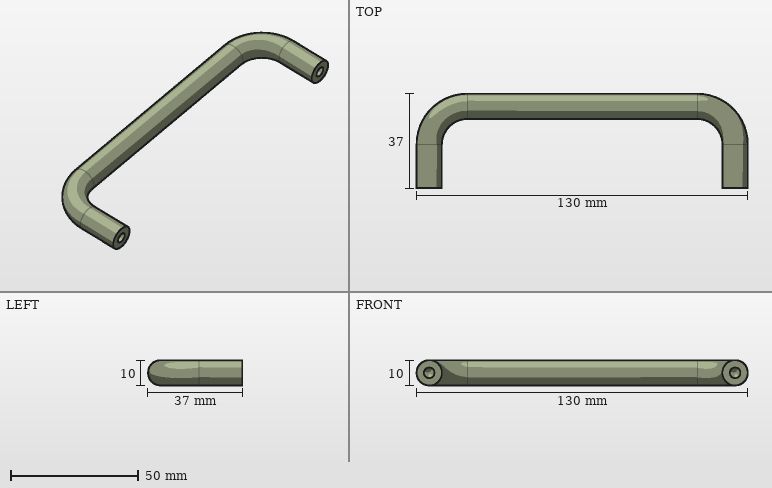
import cadquery as cq
import math

overall_length = 130.0
overall_height = 37.0
rod_diameter = 10.0
bend_radius = 15.0
hole_diameter = 4.2
hole_depth = 10.0
drill_tip_angle = 118.0

rod_radius = rod_diameter / 2
leg_x = overall_length / 2 - rod_radius
grip_y = overall_height - rod_radius
leg_length = grip_y - bend_radius
grip_half_length = leg_x - bend_radius


def make_rod():
    """Round bar bent into a U: leg, bend, grip, bend, leg."""
    centreline = (
        cq.Workplane("XY")
        .moveTo(-leg_x, 0)
        .lineTo(-leg_x, leg_length)
        .tangentArcPoint((-grip_half_length, grip_y), relative=False)
        .lineTo(grip_half_length, grip_y)
        .tangentArcPoint((leg_x, leg_length), relative=False)
        .lineTo(leg_x, 0)
    )
    leg_end = cq.Workplane("XZ", origin=(-leg_x, 0, 0))
    return leg_end.circle(rod_radius).sweep(centreline)


def drill_mounting_holes(rod):
    """Blind screw hole with a conical bottom in the end of each leg."""
    tip_height = hole_diameter / 2 / math.tan(math.radians(drill_tip_angle / 2))
    drill_profile = (
        cq.Workplane("XY")
        .polyline(
            [
                (0, 0),
                (hole_diameter / 2, 0),
                (hole_diameter / 2, hole_depth),
                (0, hole_depth + tip_height),
            ]
        )
        .close()
    )
    drill = drill_profile.revolve(360, (0, 0, 0), (0, 1, 0))
    for x in (-leg_x, leg_x):
        rod = rod.cut(drill.translate((x, 0, 0)))
    return rod


result = drill_mounting_holes(make_rod())